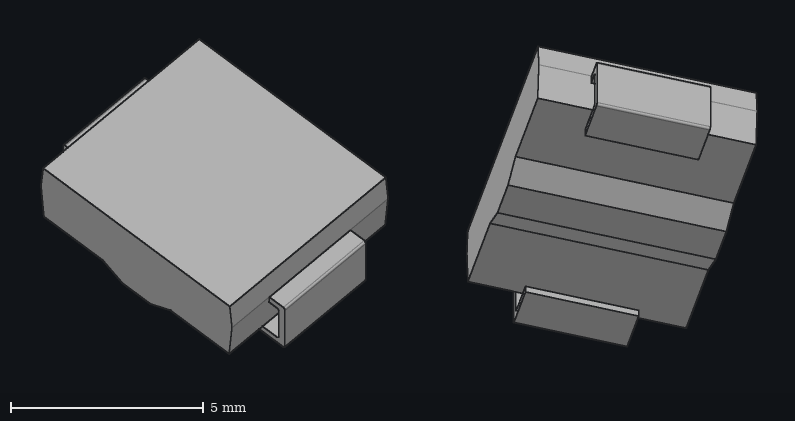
import cadquery as cq

overall_length = 7.94
body_width = 5.91
overall_height = 2.5

body_top_length = 6.685
body_parting_length = 6.845
body_bottom_length = 6.64
parting_height = 1.7
body_bottom_height = 0.49

pad_root_length = 2.41
pad_tip_length = 1.0
pad_tip_height = 0.14

lead_width = 3.065
lead_thickness = 0.22
lead_top_height = 1.66
foot_length = 1.14
bend_radius = 0.06
lead_embedding = 0.24


def extrude_across(profile, width):
    """Extrude an XZ profile along Y, centred on Y = 0."""
    return profile.extrude(width / 2, both=True)


def make_body():
    """Tapered body and the pad below it, as one symmetric profile."""
    profile = (
        cq.Workplane("XZ")
        .moveTo(0, overall_height)
        .lineTo(body_top_length / 2, overall_height)
        .lineTo(body_parting_length / 2, parting_height)
        .lineTo(body_bottom_length / 2, body_bottom_height)
        .lineTo(pad_root_length / 2, body_bottom_height)
        .lineTo(pad_tip_length / 2, pad_tip_height)
        .lineTo(0, pad_tip_height)
        .mirrorY()
    )
    return extrude_across(profile, body_width)


def make_left_lead():
    """C-shaped lead: arm into the body, upright, and foot turned inwards."""
    outer_x = -overall_length / 2
    inner_x = outer_x + lead_thickness
    arm_end_x = -body_parting_length / 2 + lead_embedding
    foot_end_x = outer_x + foot_length
    profile = (
        cq.Workplane("XZ")
        .moveTo(arm_end_x, lead_top_height)
        .lineTo(outer_x, lead_top_height)
        .lineTo(outer_x, 0)
        .lineTo(foot_end_x, 0)
        .lineTo(foot_end_x, lead_thickness)
        .lineTo(inner_x, lead_thickness)
        .lineTo(inner_x, lead_top_height - lead_thickness)
        .lineTo(arm_end_x, lead_top_height - lead_thickness)
        .close()
    )
    lead = extrude_across(profile, lead_width)
    bend_zone = cq.selectors.BoxSelector(
        (outer_x - bend_radius, -lead_width, -bend_radius),
        (inner_x + bend_radius, lead_width, lead_top_height + bend_radius),
    )
    return lead.edges("|Y").edges(bend_zone).fillet(bend_radius)


left_lead = make_left_lead()
right_lead = left_lead.mirror("YZ")
result = make_body().union(left_lead).union(right_lead)